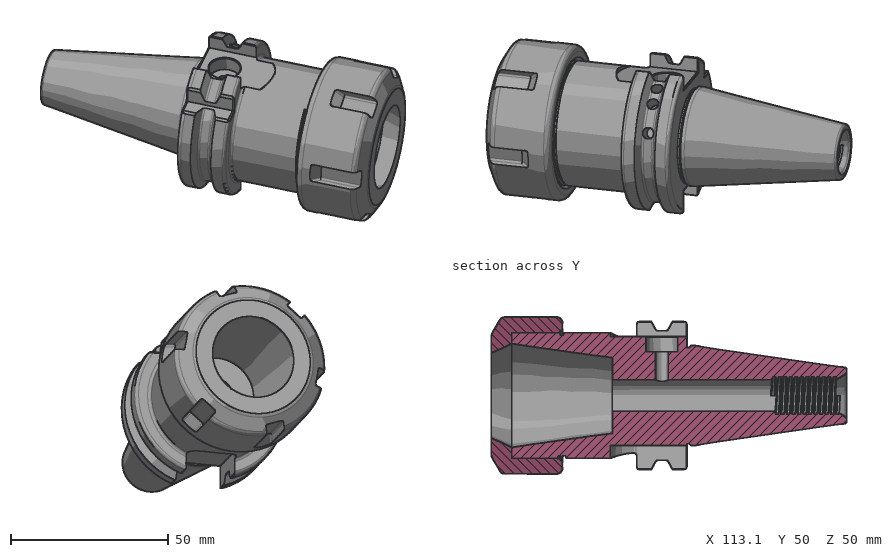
import cadquery as cq
import math


OUTER_RADIUS = 25.0
OVERALL_LENGTH = 113.08
SHANK_LENGTH = 47.8
GAUGE_RADIUS = 31.75 / 2
TAPER_SLOPE = 7 / 48
BODY_RADIUS = 20.0
BORE_RADIUS = 4.94

SHANK_END = -SHANK_LENGTH
CHUCK_END = OVERALL_LENGTH - SHANK_LENGTH

SHANK_END_FILLET = 0.8
TAPER_LAND_START = 0.6
TAPER_LAND_END = 1.7
TAPER_RELIEF_DEPTH = 0.6

FLANGE_FRONT = 2.95
FLANGE_REAR = 19.0
FLANGE_FRONT_FILLET = 1.3
FLANGE_REAR_FILLET = 1.0
GROOVE_CENTRE = 11.0
GROOVE_ROOT_RADIUS = 22.15
GROOVE_MOUTH_WIDTH = 6.85
GROOVE_FLANK_ANGLE = 30.0
GROOVE_ROOT_FILLET = 0.8
BODY_FILLET = 1.0

SLOT_WIDTH = 16.1
UPPER_SLOT_FLOOR = 18.8
LOWER_SLOT_FLOOR = 15.9
SLOT_TIP = 27.4
UPPER_SLOT_END_RADIUS = 10.5
SLOT_EDGE_CHAMFER = 0.35
NOTCH_EDGE_CHAMFER = 0.5
NOTCH_OFFSET = 14.9
CHIP_HOLE_RADIUS = 5.0
CHIP_HOLE_DEPTH = 4.8
CHIP_HOLE_CHAMFER = 0.25
CROSS_HOLE_RADIUS = 2.0
BALANCE_HOLE_RADIUS = 1.8
BALANCE_HOLE_DEPTH = 5.0
BALANCE_HOLE_ANGLES = (30.0, 45.0, 70.0)

STUD_MOUTH_RADIUS = 7.3
STUD_CONE_RADIUS = 6.6
STUD_CONE_ANGLE = 30.0
STUD_THREAD_START = 2.5
STUD_THREAD_PITCH = 1.75
STUD_THREAD_DEPTH = 1.0
STUD_THREAD_TURNS = 12

NUT_START = 42.55
NUT_REAR_FILLET = 2.0
NUT_BORE_CHAMFER = 1.1
NUT_CONE_ANGLE = 60.0
NUT_FACE_RADIUS = 19.0
NUT_RIM_RADIUS = 20.0
NUT_RIM_HEIGHT = 0.35
NUT_TOP_FILLET = 2.0
NUT_OPENING_RADIUS = 13.5

SPANNER_SLOT_COUNT = 6
SPANNER_SLOT_PHASE = 9.9
SPANNER_SLOT_FLOOR = 22.1
SPANNER_SLOT_WIDTH = 6.2
SPANNER_SLOT_FILLET = 0.65
LONG_SLOT_START = 47.4
SHORT_SLOT_START = 49.7

NOSE_SETBACK = 6.5
NOSE_END = CHUCK_END - NOSE_SETBACK
SEAT_MOUTH_RADIUS = 16.5
SEAT_ANGLE = 8.0
SEAT_DEPTH = 32.0
NUT_THREAD_PITCH = 1.5
NUT_THREAD_DEPTH = 0.8
NUT_THREAD_TURNS = 1.5
NUT_THREAD_START = 41.45
NUT_THREAD_START_ANGLE = 60.0

THREAD_MOUTH_RATIO = 0.85
THREAD_ROOT_RATIO = 0.4
THREAD_OVERCUT = 0.1


def turned(points):
    """Solid of revolution about X from (x, radius) points."""
    return cq.Workplane("XY").polyline(points).close().revolve(360, (0, 0, 0), (1, 0, 0))


def edges_at(x, radius, size=0.01):
    """Selector for a circular edge about the X axis."""

    def slab(reach):
        low = (x - size, -reach, -reach)
        high = (x + size, reach, reach)
        return cq.selectors.BoxSelector(low, high, boundingbox=True)

    return slab(radius + size) - slab(radius - size)


def holder_blank():
    shank_end_radius = GAUGE_RADIUS - SHANK_LENGTH * TAPER_SLOPE
    land_radius = GAUGE_RADIUS + TAPER_LAND_START * TAPER_SLOPE
    relief_radius = land_radius - TAPER_RELIEF_DEPTH
    half_mouth = GROOVE_MOUTH_WIDTH / 2
    groove_depth = OUTER_RADIUS - GROOVE_ROOT_RADIUS
    half_root = half_mouth - groove_depth * math.tan(math.radians(GROOVE_FLANK_ANGLE))
    blank = turned([
        (SHANK_END, 0),
        (SHANK_END, shank_end_radius),
        (TAPER_LAND_START, land_radius),
        (TAPER_LAND_END, land_radius),
        (TAPER_LAND_END + TAPER_RELIEF_DEPTH, relief_radius),
        (FLANGE_FRONT, relief_radius),
        (FLANGE_FRONT, OUTER_RADIUS),
        (GROOVE_CENTRE - half_mouth, OUTER_RADIUS),
        (GROOVE_CENTRE - half_root, GROOVE_ROOT_RADIUS),
        (GROOVE_CENTRE + half_root, GROOVE_ROOT_RADIUS),
        (GROOVE_CENTRE + half_mouth, OUTER_RADIUS),
        (FLANGE_REAR, OUTER_RADIUS),
        (FLANGE_REAR, BODY_RADIUS),
        (NOSE_END, BODY_RADIUS),
        (NOSE_END, 0),
    ])
    blank = blank.edges(edges_at(SHANK_END, shank_end_radius)).fillet(SHANK_END_FILLET)
    blank = blank.edges(edges_at(FLANGE_FRONT, OUTER_RADIUS)).fillet(FLANGE_FRONT_FILLET)
    blank = blank.edges(edges_at(FLANGE_REAR, OUTER_RADIUS)).fillet(FLANGE_REAR_FILLET)
    for side in (-1, 1):
        root_edge = edges_at(GROOVE_CENTRE + side * half_root, GROOVE_ROOT_RADIUS)
        blank = blank.edges(root_edge).fillet(GROOVE_ROOT_FILLET)
    return blank.edges(edges_at(FLANGE_REAR, BODY_RADIUS)).fillet(BODY_FILLET)


def axial_bore():
    cone_start = SHANK_END + STUD_MOUTH_RADIUS - STUD_CONE_RADIUS
    cone_length = (STUD_CONE_RADIUS - BORE_RADIUS) / math.tan(math.radians(STUD_CONE_ANGLE))
    seat_start = NOSE_END - SEAT_DEPTH
    seat_root_radius = SEAT_MOUTH_RADIUS - SEAT_DEPTH * math.tan(math.radians(SEAT_ANGLE))
    return turned([
        (SHANK_END, 0),
        (SHANK_END, STUD_MOUTH_RADIUS),
        (cone_start, STUD_CONE_RADIUS),
        (cone_start + cone_length, BORE_RADIUS),
        (seat_start, BORE_RADIUS),
        (seat_start, seat_root_radius),
        (NOSE_END, SEAT_MOUTH_RADIUS),
        (NOSE_END, 0),
    ])


def edge_flare(x, direction, y_range, z_range, c):
    """45 degree flare of a cut, widest at the flange face x and narrowing by c along the given X direction."""
    width = y_range[1] - y_range[0] + 2 * c
    height = z_range[1] - z_range[0] + 2 * c
    centre = (x, sum(y_range) / 2, sum(z_range) / 2)
    plane = cq.Plane(origin=centre, xDir=(0, direction, 0), normal=(direction, 0, 0))
    return cq.Workplane(plane).rect(width, height).extrude(c, taper=45)


def drive_slot(floor, end_radius, side):
    """Slot across the flange with a round end in the body; side is +1 for +Z and -1 for -Z."""
    half = SLOT_WIDTH / 2
    corner = SLOT_TIP - end_radius + math.sqrt(end_radius ** 2 - half ** 2)
    slot = (
        cq.Workplane("XY", origin=(0, 0, side * floor))
        .moveTo(FLANGE_FRONT, -half)
        .lineTo(corner, -half)
        .threePointArc((SLOT_TIP, 0), (corner, half))
        .lineTo(FLANGE_FRONT, half)
        .close()
        .extrude(side * (OUTER_RADIUS - floor))
    )
    z_range = sorted((side * floor, side * OUTER_RADIUS))
    return slot.union(edge_flare(FLANGE_FRONT, 1, (-half, half), z_range, SLOT_EDGE_CHAMFER))


def land_bevel(wall, c, turn):
    """Bevel of the edge between a flat wall at y = wall and the flange rim, turned about X.

    The bevel reaches c along Y from the wall; the sign of c points into the land.
    """
    wall_top = math.sqrt(OUTER_RADIUS ** 2 - wall ** 2)
    far_top = math.sqrt(OUTER_RADIUS ** 2 - (wall + c) ** 2)
    return (
        cq.Workplane("YZ", origin=(FLANGE_FRONT, 0, 0))
        .polyline([
            (wall, wall_top - abs(c)),
            (wall + c, far_top),
            (wall + c, OUTER_RADIUS),
            (wall, OUTER_RADIUS),
        ])
        .close()
        .extrude(FLANGE_REAR - FLANGE_FRONT)
        .rotate((0, 0, 0), (1, 0, 0), turn)
    )


def land_bevels():
    half = SLOT_WIDTH / 2
    bevels = []
    for turn in (0, 180):
        bevels.append(land_bevel(half, SLOT_EDGE_CHAMFER, turn))
        bevels.append(land_bevel(-half, -SLOT_EDGE_CHAMFER, turn))
    bevels.append(land_bevel(-NOTCH_OFFSET, NOTCH_EDGE_CHAMFER, 0))
    bevels.append(land_bevel(NOTCH_OFFSET, -NOTCH_EDGE_CHAMFER, 90))
    return bevels


def orientation_notch():
    y_range = (-OUTER_RADIUS, -NOTCH_OFFSET)
    z_range = (NOTCH_OFFSET, OUTER_RADIUS)
    reach = OUTER_RADIUS - NOTCH_OFFSET
    notch = cq.Workplane("XY").box(FLANGE_REAR - FLANGE_FRONT, reach, reach, centered=False)
    notch = notch.translate((FLANGE_FRONT, -OUTER_RADIUS, NOTCH_OFFSET))
    notch = notch.union(edge_flare(FLANGE_FRONT, 1, y_range, z_range, NOTCH_EDGE_CHAMFER))
    return notch.union(edge_flare(FLANGE_REAR, -1, y_range, z_range, NOTCH_EDGE_CHAMFER))


def chip_hole():
    floor = UPPER_SLOT_FLOOR - CHIP_HOLE_DEPTH
    mouth_radius = CHIP_HOLE_RADIUS + CHIP_HOLE_CHAMFER
    return (
        cq.Workplane("XZ")
        .polyline([
            (0, 0),
            (CROSS_HOLE_RADIUS, 0),
            (CROSS_HOLE_RADIUS, floor),
            (CHIP_HOLE_RADIUS, floor),
            (CHIP_HOLE_RADIUS, UPPER_SLOT_FLOOR - CHIP_HOLE_CHAMFER),
            (mouth_radius, UPPER_SLOT_FLOOR),
            (0, UPPER_SLOT_FLOOR),
        ])
        .close()
        .revolve(360, (0, 0, 0), (0, 1, 0))
        .translate((GROOVE_CENTRE, 0, 0))
    )


def balance_hole(angle):
    return (
        cq.Workplane("XY", origin=(GROOVE_CENTRE, 0, GROOVE_ROOT_RADIUS - BALANCE_HOLE_DEPTH))
        .circle(BALANCE_HOLE_RADIUS)
        .extrude(OUTER_RADIUS - GROOVE_ROOT_RADIUS + BALANCE_HOLE_DEPTH)
        .rotate((0, 0, 0), (1, 0, 0), -angle)
    )


def thread_groove(start, surface_radius, depth, pitch, turns, start_angle):
    """Helical groove that advances in +X; a positive depth cuts outwards and a negative one inwards."""
    half_mouth = THREAD_MOUTH_RATIO * pitch / 2
    half_root = THREAD_ROOT_RATIO * pitch / 2
    mouth_radius = surface_radius - math.copysign(THREAD_OVERCUT, depth)
    root_radius = surface_radius + depth
    helix = cq.Wire.makeHelix(pitch, pitch * turns, surface_radius)
    groove = (
        cq.Workplane("XZ")
        .polyline([
            (mouth_radius, -half_mouth),
            (root_radius, -half_root),
            (root_radius, half_root),
            (mouth_radius, half_mouth),
        ])
        .close()
        .sweep(cq.Workplane(obj=helix), isFrenet=True)
    )
    groove = groove.rotate((0, 0, 0), (0, 1, 0), 90)
    return groove.rotate((0, 0, 0), (1, 0, 0), -90 - start_angle).translate((start, 0, 0))


def make_holder():
    body = holder_blank().cut(axial_bore())
    body = body.cut(drive_slot(UPPER_SLOT_FLOOR, UPPER_SLOT_END_RADIUS, 1))
    body = body.cut(drive_slot(LOWER_SLOT_FLOOR, SLOT_WIDTH / 2, -1))
    body = body.cut(orientation_notch()).cut(chip_hole())
    for bevel in land_bevels():
        body = body.cut(bevel)
    for angle in BALANCE_HOLE_ANGLES:
        body = body.cut(balance_hole(angle))
    nut_thread = thread_groove(
        start=NUT_THREAD_START,
        surface_radius=BODY_RADIUS,
        depth=-NUT_THREAD_DEPTH,
        pitch=NUT_THREAD_PITCH,
        turns=NUT_THREAD_TURNS,
        start_angle=NUT_THREAD_START_ANGLE,
    )
    stud_thread = thread_groove(
        start=SHANK_END + STUD_THREAD_START,
        surface_radius=BORE_RADIUS,
        depth=STUD_THREAD_DEPTH,
        pitch=STUD_THREAD_PITCH,
        turns=STUD_THREAD_TURNS,
        start_angle=0,
    )
    return body.cut(nut_thread).cut(stud_thread).solids()


def nut_blank():
    rim = CHUCK_END - NUT_RIM_HEIGHT
    cone_start = rim - (OUTER_RADIUS - NUT_RIM_RADIUS) / math.tan(math.radians(NUT_CONE_ANGLE))
    blank = turned([
        (NUT_START + NUT_BORE_CHAMFER, BODY_RADIUS),
        (NUT_START, BODY_RADIUS + NUT_BORE_CHAMFER),
        (NUT_START, OUTER_RADIUS),
        (cone_start, OUTER_RADIUS),
        (rim, NUT_RIM_RADIUS),
        (CHUCK_END, NUT_FACE_RADIUS),
        (CHUCK_END, NUT_OPENING_RADIUS),
        (NOSE_END, SEAT_MOUTH_RADIUS),
        (NOSE_END, BODY_RADIUS),
    ])
    blank = blank.edges(edges_at(NUT_START, OUTER_RADIUS)).fillet(NUT_REAR_FILLET)
    return blank.edges(edges_at(cone_start, OUTER_RADIUS)).fillet(NUT_TOP_FILLET)


def spanner_slot(start, angle):
    """Slot with a 45 degree ramp at its closed end and filleted floor, at an angle from -Y towards +Z."""
    ramp = OUTER_RADIUS - SPANNER_SLOT_FLOOR
    slot = (
        cq.Workplane("XZ")
        .polyline([
            (start, OUTER_RADIUS),
            (start + ramp, SPANNER_SLOT_FLOOR),
            (CHUCK_END, SPANNER_SLOT_FLOOR),
            (CHUCK_END, OUTER_RADIUS),
        ])
        .close()
        .extrude(SPANNER_SLOT_WIDTH / 2, both=True)
    )
    floor_edges = slot.faces("<Z").edges("|X")
    ramp_edges = slot.faces("<X").edges("not |Y")
    slot = floor_edges.add(ramp_edges).fillet(SPANNER_SLOT_FILLET)
    return slot.rotate((0, 0, 0), (1, 0, 0), 90 - angle)


def make_nut():
    nut = nut_blank()
    for index in range(SPANNER_SLOT_COUNT):
        is_short = 1 <= index <= SPANNER_SLOT_COUNT // 2
        start = SHORT_SLOT_START if is_short else LONG_SLOT_START
        angle = SPANNER_SLOT_PHASE + index * 360 / SPANNER_SLOT_COUNT
        nut = nut.cut(spanner_slot(start, angle))
    return nut.solids()


holder = make_holder()
nut = make_nut()
result = cq.Compound.makeCompound([holder.val(), nut.val()])